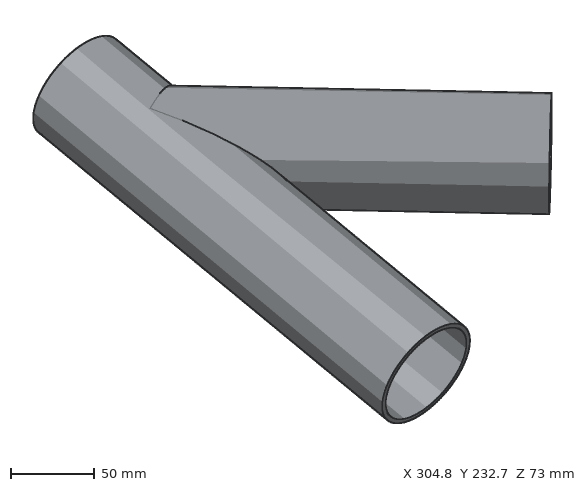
import cadquery as cq
import math

run_length = 304.8
outer_diameter = 73.0
bore_diameter = 67.0
branch_angle = 45.0
branch_start = 63.7
branch_length = 241.0

run_plane = cq.Plane(origin=(0, 0, 0), xDir=(0, 1, 0), normal=(1, 0, 0))
angle = math.radians(branch_angle)
branch_plane = cq.Plane(
    origin=(branch_start, 0, 0),
    xDir=(0, 0, 1),
    normal=(math.cos(angle), math.sin(angle), 0),
)


def wye(diameter):
    """Solid run and branch cylinders of one diameter, joined together."""
    run = cq.Workplane(run_plane).circle(diameter / 2).extrude(run_length)
    branch = cq.Workplane(branch_plane).circle(diameter / 2).extrude(branch_length)
    return run.union(branch)


result = wye(outer_diameter).cut(wye(bore_diameter))